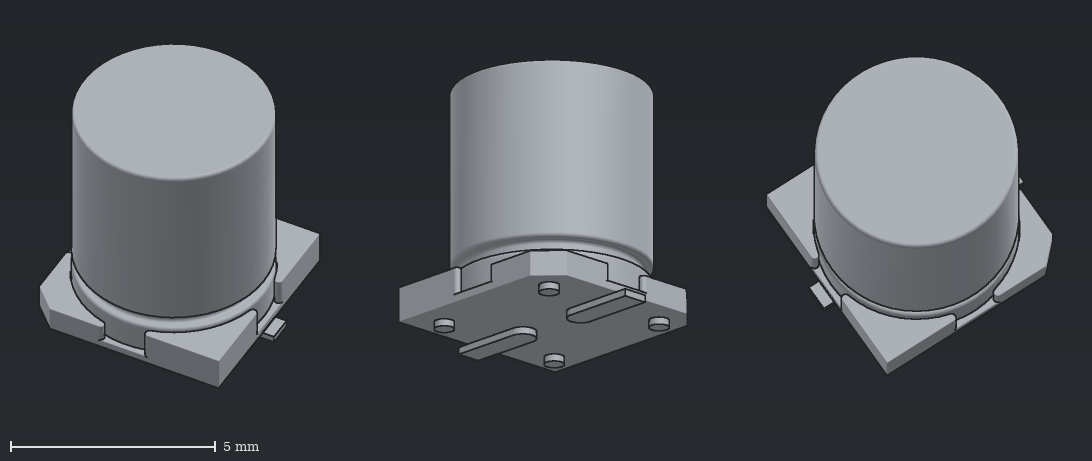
import cadquery as cq
import math

total_height = 6.1

can_radius = 2.5
can_edge_radius = 0.1
neck_radius = 2.25
bead_bottom = 1.085
bead_arc = 0.105
neck_length = 0.1

base_width = 5.3
base_bottom = 0.18
floor_height = 0.41
low_post_top = 0.85
tall_post_top = 1.1
corner_chamfer = 0.63
notch_width = 1.14
pocket_radius = 2.525
edge_round = 0.025

lead_span = 5.9
lead_width = 0.67
lead_inner_end = 0.685
foot_diameter = 0.5
foot_offset = 1.855


def make_can():
    """Can turned around Z, with a rolled bead groove above the base."""
    groove_bottom = bead_bottom + bead_arc
    neck_bottom = groove_bottom + bead_arc
    neck_top = neck_bottom + neck_length
    groove_top = neck_top + bead_arc
    shoulder = groove_top + bead_arc
    flank_outer = can_radius - bead_arc
    flank_inner = neck_radius + bead_arc
    bulge = bead_arc * math.sqrt(0.5)
    profile = (
        cq.Workplane("XZ")
        .moveTo(0, floor_height)
        .lineTo(can_radius, floor_height)
        .lineTo(can_radius, bead_bottom)
        .threePointArc((flank_outer + bulge, bead_bottom + bulge), (flank_outer, groove_bottom))
        .lineTo(flank_inner, groove_bottom)
        .threePointArc((flank_inner - bulge, neck_bottom - bulge), (neck_radius, neck_bottom))
        .lineTo(neck_radius, neck_top)
        .threePointArc((flank_inner - bulge, neck_top + bulge), (flank_inner, groove_top))
        .lineTo(flank_outer, groove_top)
        .threePointArc((flank_outer + bulge, shoulder - bulge), (can_radius, shoulder))
        .lineTo(can_radius, total_height)
        .lineTo(0, total_height)
        .close()
    )
    return profile.revolve(360, (0, 0), (0, 1)).faces(">Z").edges().fillet(can_edge_radius)


def make_post(sign_x, sign_y, height):
    """Corner post from the base underside up to height, with fully rounded ends.

    Each end is one arc touching the outer side, the notch limit and the can pocket.
    """
    side = base_width / 2
    tip = notch_width / 2
    reach = side + pocket_radius - tip
    end_radius = reach - math.sqrt(reach**2 - (tip**2 + side**2 - pocket_radius**2))
    near = tip + end_radius
    far = side - end_radius
    touch_scale = pocket_radius / (pocket_radius + end_radius)
    touch_near = near * touch_scale
    touch_far = far * touch_scale
    pocket_middle = pocket_radius * math.sqrt(0.5)

    def point(x, y):
        return (sign_x * x, sign_y * y)

    return (
        cq.Workplane("XY")
        .workplane(offset=base_bottom)
        .moveTo(*point(near, side))
        .lineTo(*point(side, side))
        .lineTo(*point(side, near))
        .threePointArc(point(far, tip), point(touch_far, touch_near))
        .threePointArc(point(pocket_middle, pocket_middle), point(touch_near, touch_far))
        .threePointArc(point(tip, far), point(near, side))
        .close()
        .extrude(height - base_bottom)
    )


def make_base():
    """Square base with two chamfered corners at -X and four posts around the can."""
    floor_thickness = floor_height - base_bottom
    underside = cq.Workplane("XY").workplane(offset=base_bottom)
    base = underside.rect(base_width, base_width).extrude(floor_thickness)
    for sign_x, post_top in ((-1, low_post_top), (1, tall_post_top)):
        for sign_y in (-1, 1):
            base = base.union(make_post(sign_x, sign_y, post_top))

    post_middle = (base_bottom + low_post_top) / 2

    half = base_width / 2
    for sign_y in (-1, 1):
        corner = cq.selectors.NearestToPointSelector((-half, sign_y * half, post_middle))
        base = base.edges("|Z").edges(corner).chamfer(corner_chamfer)

    corner_inset = half - corner_chamfer
    for sign_y in (-1, 1):
        for x, y in ((-half, corner_inset), (-corner_inset, half), (half, half)):
            corner = cq.selectors.NearestToPointSelector((x, sign_y * y, post_middle))
            base = base.edges("|Z").edges(corner).fillet(edge_round)

    base = base.faces("<Z").edges().fillet(edge_round)
    for post_top in (low_post_top, tall_post_top):
        rim = cq.selectors.BoxSelector(
            (-base_width, -base_width, post_top - edge_round / 2),
            (base_width, base_width, post_top + edge_round / 2),
        )
        base = base.edges(rim).fillet(edge_round)

    for x, y in ((-half, 0), (half, 0), (0, -half), (0, half)):
        floor_edge = cq.selectors.NearestToPointSelector((x, y, floor_height))
        base = base.edges(floor_edge).fillet(edge_round)
    return base


def make_lead(direction):
    """Flat lead with a round inner end, pointing along +X or -X."""
    half_width = lead_width / 2
    outer_end = lead_span / 2
    round_centre = lead_inner_end + half_width
    return (
        cq.Workplane("XY")
        .moveTo(direction * outer_end, half_width)
        .lineTo(direction * round_centre, half_width)
        .threePointArc((direction * lead_inner_end, 0), (direction * round_centre, -half_width))
        .lineTo(direction * outer_end, -half_width)
        .close()
        .extrude(base_bottom)
    )


feet = (
    cq.Workplane("XY")
    .rect(2 * foot_offset, 2 * foot_offset, forConstruction=True)
    .vertices()
    .circle(foot_diameter / 2)
    .extrude(base_bottom)
)

result = make_base().union(make_can()).union(feet)
for lead_direction in (-1, 1):
    result = result.union(make_lead(lead_direction))